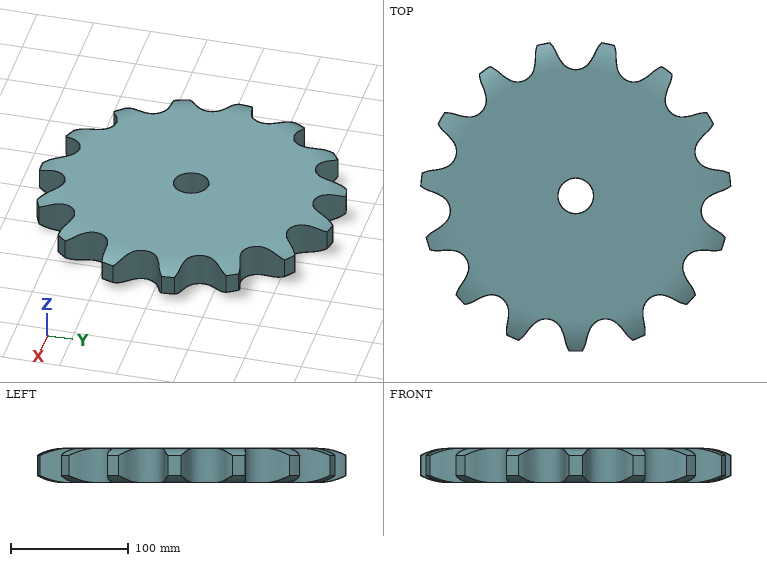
import cadquery as cq
import math


tooth_count = 15
pitch = 50.7
roller_diameter = 28.5
outer_radius = 132.5
thickness = 29.3
flat_face_radius = 108.3
side_round_radius = 51.0
bore_diameter = 30.0

tooth_angle = 360 / tooth_count
half_tooth_angle = math.radians(tooth_angle / 2)
pitch_radius = pitch / (2 * math.sin(half_tooth_angle))

seat_radius = 0.5025 * roller_diameter
working_center_offset = 0.8 * roller_diameter
working_radius = working_center_offset + seat_radius
topping_center_offset = 1.4 * roller_diameter
seat_end_angle = math.radians(35 + 60 / tooth_count)
working_sweep = math.radians(18 - 56 / tooth_count)
working_end_angle = seat_end_angle - working_sweep


def polar(center, radius, angle):
    """Point at the given radius and angle (radians) from a center."""
    return (center[0] + radius * math.cos(angle), center[1] + radius * math.sin(angle))


def mirror(point):
    """Point mirrored across the Y axis."""
    return (-point[0], point[1])


def rotate(point, degrees):
    """Point turned about the sprocket axis."""
    angle = math.radians(degrees)
    x, y = point
    return (x * math.cos(angle) - y * math.sin(angle), x * math.sin(angle) + y * math.cos(angle))


def flank_points():
    """Points of the flank on the +X side of the gap at +Y, from gap bottom to pointed tooth tip."""
    seat_center = (0, pitch_radius)
    root = (0, pitch_radius - seat_radius)
    seat_end = polar(seat_center, seat_radius, -seat_end_angle)

    working_center = polar(seat_center, working_center_offset, math.pi - seat_end_angle)
    working_middle = polar(working_center, working_radius, -seat_end_angle + working_sweep / 2)
    working_end = polar(working_center, working_radius, -working_end_angle)

    topping_center = polar(seat_center, topping_center_offset, -half_tooth_angle)
    center_gap = (topping_center[0] - working_center[0], topping_center[1] - working_center[1])
    center_distance_along_normal = (
        center_gap[0] * math.cos(working_end_angle) - center_gap[1] * math.sin(working_end_angle)
    )
    topping_radius = center_distance_along_normal - working_radius
    topping_start_angle = math.pi - working_end_angle
    topping_start = polar(topping_center, topping_radius, topping_start_angle)

    offset_past_tooth_center = topping_center_offset - pitch / 2
    tip_angle = math.pi - half_tooth_angle - math.acos(offset_past_tooth_center / topping_radius)
    topping_middle = polar(topping_center, topping_radius, (topping_start_angle + tip_angle) / 2)
    tip = polar(topping_center, topping_radius, tip_angle)

    return root, seat_end, working_middle, working_end, topping_start, topping_middle, tip


def make_toothed_plate():
    """Plate with pointed teeth, drawn gap by gap clockwise from the +Y gap."""
    flank = flank_points()
    root, seat_end, working_middle, working_end, topping_start, topping_middle, tip = flank
    outline = cq.Workplane("XY").workplane(offset=-thickness / 2).moveTo(*mirror(tip))
    for gap in range(tooth_count):
        turn = -gap * tooth_angle
        outline = (
            outline
            .threePointArc(rotate(mirror(topping_middle), turn), rotate(mirror(topping_start), turn))
            .lineTo(*rotate(mirror(working_end), turn))
            .threePointArc(rotate(mirror(working_middle), turn), rotate(mirror(seat_end), turn))
            .threePointArc(rotate(root, turn), rotate(seat_end, turn))
            .threePointArc(rotate(working_middle, turn), rotate(working_end, turn))
            .lineTo(*rotate(topping_start, turn))
            .threePointArc(rotate(topping_middle, turn), rotate(tip, turn))
        )
    return outline.close().extrude(thickness)


def make_rounded_blank():
    """Turned disc whose sides curve in, tangent to the flat faces, toward the tooth tips."""
    half_thickness = thickness / 2
    full_round_angle = math.asin((outer_radius - flat_face_radius) / side_round_radius)
    round_center = (flat_face_radius, half_thickness - side_round_radius)
    round_middle = polar(round_center, side_round_radius, math.pi / 2 - full_round_angle / 2)
    round_end = polar(round_center, side_round_radius, math.pi / 2 - full_round_angle)
    return (
        cq.Workplane("XZ")
        .moveTo(0, -half_thickness)
        .lineTo(flat_face_radius, -half_thickness)
        .threePointArc((round_middle[0], -round_middle[1]), (round_end[0], -round_end[1]))
        .lineTo(*round_end)
        .threePointArc(round_middle, (flat_face_radius, half_thickness))
        .lineTo(0, half_thickness)
        .close()
        .revolve(360, (0, 0, 0), (0, 1, 0))
    )


def make_bore():
    """Cylinder through the full thickness on the sprocket axis."""
    return cq.Workplane("XY").circle(bore_diameter / 2).extrude(thickness / 2, both=True)


result = make_toothed_plate().intersect(make_rounded_blank()).cut(make_bore())